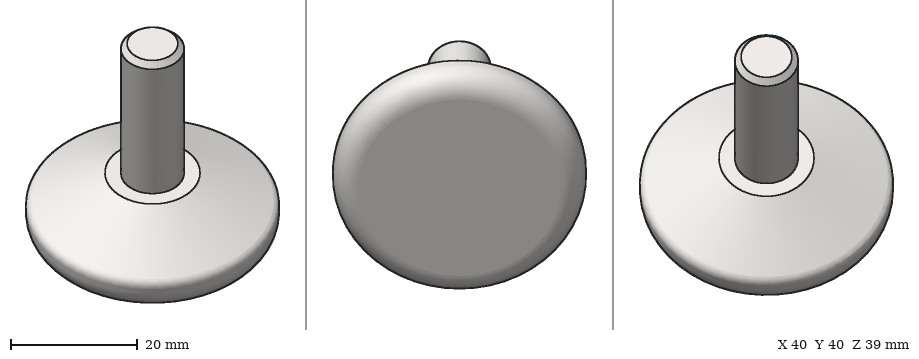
import cadquery as cq

foot_diameter = 40.0
foot_height = 12.0
rim_height = 6.0
shoulder_diameter = 15.0
bottom_rounding = 4.0
rim_rounding = 1.5

stud_diameter = 10.0
stud_length = 27.0
stud_chamfer = 1.0


def make_foot():
    """Round foot: a short cylindrical rim topped by a cone with a flat shoulder."""
    foot_radius = foot_diameter / 2
    foot = (
        cq.Workplane("XZ")
        .moveTo(0, 0)
        .lineTo(foot_radius, 0)
        .lineTo(foot_radius, rim_height)
        .lineTo(shoulder_diameter / 2, foot_height)
        .lineTo(0, foot_height)
        .close()
        .revolve(360, (0, 0, 0), (0, 1, 0))
    )
    foot = foot.faces("<Z").edges().fillet(bottom_rounding)
    rim_corner = cq.selectors.NearestToPointSelector((0, 0, rim_height))
    return foot.edges("%CIRCLE").edges(rim_corner).fillet(rim_rounding)


def make_stud():
    """Plain stud standing on the shoulder, with a chamfered tip."""
    return (
        cq.Workplane("XY")
        .workplane(offset=foot_height)
        .circle(stud_diameter / 2)
        .extrude(stud_length)
        .faces(">Z")
        .edges()
        .chamfer(stud_chamfer)
    )


result = make_foot().union(make_stud())